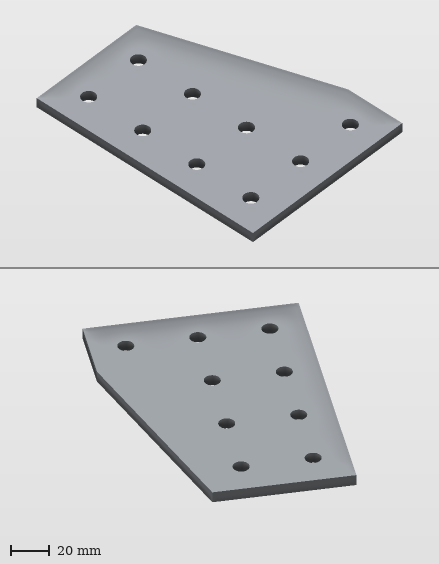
import cadquery as cq

pitch = 38.1
columns = 4
rows = 3
thickness = 6.4
hole_diameter = 8.8

length = columns * pitch
width = rows * pitch
left_edge_height = 2 * pitch
top_edge_length = pitch


def cell_center(column, row):
    return ((column + 0.5) * pitch, (row + 0.5) * pitch)


outline = [
    (0, 0),
    (length, 0),
    (length, width),
    (length - top_edge_length, width),
    (0, left_edge_height),
]
plate = cq.Workplane("XY").polyline(outline).close().extrude(thickness)

hole_centers = [cell_center(column, row) for row in range(rows - 1) for column in range(columns)]
hole_centers.append(cell_center(columns - 1, rows - 1))
holes = cq.Workplane("XY").pushPoints(hole_centers).circle(hole_diameter / 2).extrude(thickness)

result = plate.cut(holes)